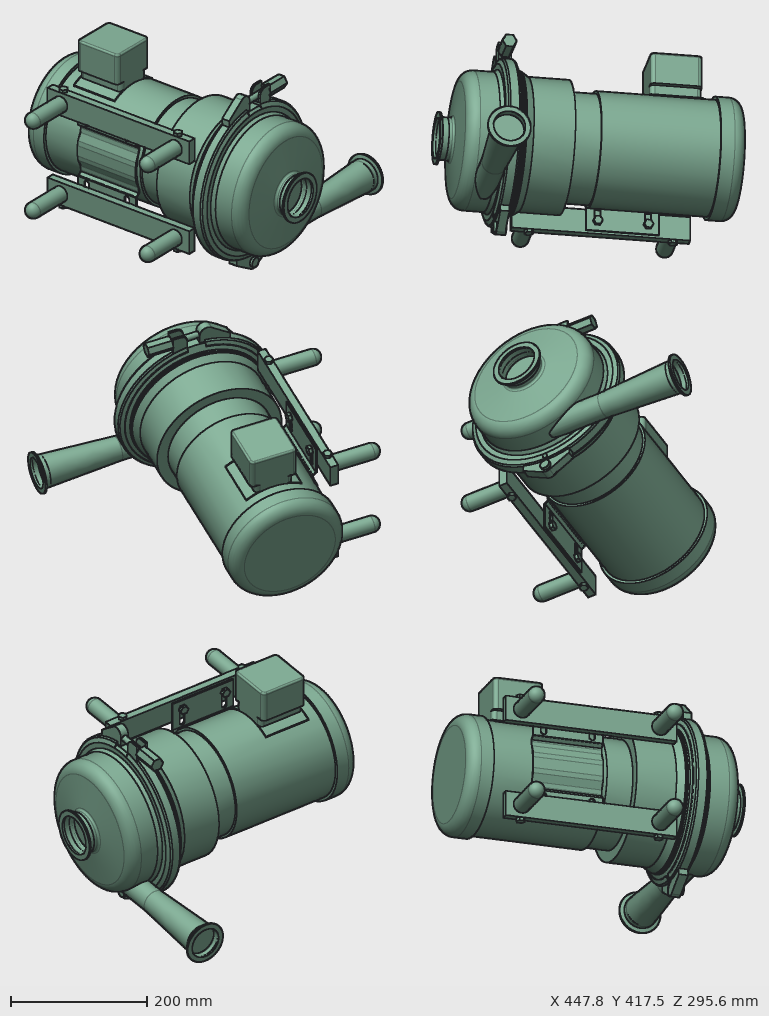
import cadquery as cq
import math


COVER_DIA = 182.63
COVER_LENGTH = 38.4
COVER_ROUND = 18.3
MOTOR_DIA = 172.97
MOTOR_END_X = 216.0
NECK_DIA = 164.85
NECK_END_X = 257.5
ADAPTER_DIA = 200.0
ADAPTER_END_X = 319.5

BACK_PLATE_DIA = 215.0
BACK_CONE_END_X = 331.0
BACK_GROOVE_X = 333.2
BACK_GROOVE_WIDTH = 1.2
BACK_GROOVE_DEPTH = 0.8
BACK_RIM_X = 335.2
BACK_COLLAR_X = 337.6
BACK_COLLAR_R = 108.6
FLANGE_DIA = 240.0
FLANGE_THICKNESS = 17.2

CLAMP_MID_X = 351.8
CLAMP_WIDTH = 25.2
CLAMP_SHOULDER_WIDTH = 18.8
CLAMP_CROWN_WIDTH = 13.2
CLAMP_INNER_R = 115.6
CLAMP_SHOULDER_R = 122.5
CLAMP_OUTER_R = 124.4
CLAMP_GAP_START_Y = -15.0
CLAMP_GAP_END_Y = 14.0
HINGE_GAP = 6.6

BOLT_Z = 131.5
ROD_DIA = 10.0
NUT_FLATS = 18.7
NUT_START_Y = 37.0
NUT_END_Y = 76.0
FORK_TOP_Z = 145.5
FORK_BASE_Z = 116.0
FORK_ROUND = 11.2
FORK_EAR_THICKNESS = 3.4
WEDGE_FRONT_Y = -7.3
WEDGE_END_Y = -55.6
WEDGE_TOP_Z = 147.0
WEDGE_ROUND = 11.3
WEDGE_TIP_Z = 121.7
WEDGE_BASE_Z = 110.0

HINGE_HALF_WIDTH = 38.7
HINGE_SIDE_Z = -127.4
HINGE_ROOT_Z = -118.0
HINGE_PIN_Z = -136.3
HINGE_BOSS_R = 11.48
HINGE_THICKNESS = 14.4
HINGE_LEAF_STEP = 1.0
PIN_HEAD_DIA = 15.5
PIN_HEAD_HEIGHT = 4.6

CASING_R = 103.6
CASING_COLLAR_R = 107.0
CASING_WALL_START_X = 370.7
CASING_WALL_END_X = 400.4
CASING_ROUND = 19.4
CASING_FACE_X = 426.0

INLET_END_X = 447.75
INLET_TUBE_DIA = 63.5
INLET_NECK_DIA = 63.88
INLET_NECK_END_X = 434.2
INLET_ROOT_ROUND = 3.5
INLET_BORE = 60.2
INLET_FERRULE_DIA = 77.47

OUTLET_X = 380.8
OUTLET_Z = -83.2
OUTLET_END_Y = 239.3
OUTLET_FERRULE_DIA = 63.88
OUTLET_TOP_DIA = 50.93
OUTLET_BORE = 47.5
OUTLET_BASE_DIA = 38.0
OUTLET_TAPER_TOP_Y = 227.0
OUTLET_TAPER_BASE_Y = 109.7
OUTLET_ROOT_Y = 20.0

FERRULE_RIM = 2.9
FERRULE_BEVEL = 1.6

BOX_START_X = 57.1
BOX_LENGTH = 76.9
BOX_WIDTH = 74.4
BOX_TOP_Z = 147.8
BOX_BOTTOM_Z = 98.0
BOX_CORNER_R = 6.6
BOX_TOP_ROUND = 3.0
PEDESTAL_INSET = 7.5
PAD_WIDTH = 89.0
PAD_THICKNESS = 1.5

BAR_START_X = 53.1
BAR_INNER_Y = -88.6
BAR_THICKNESS = 12.7
BAR_HEIGHT = 38.0
BAR_MID_Z = 75.0
FOOT_DIA = 25.4
FOOT_END_Y = -178.2
FOOT_X = (77.9, 293.3)
BAR_SCREW_DIA = 13.4
BAR_SCREW_HEIGHT = 4.9

SADDLE_START_X = 100.2
SADDLE_LENGTH = 109.0
SHEET = 2.8
SADDLE_CROWN_Y = -89.6
SADDLE_CROWN_HALF = 8.6
SADDLE_FLANK_TOP = (-88.4, 16.2)
SADDLE_FLANK_END = (-83.0, 28.0)
SADDLE_VALLEY_Y = -82.0
SADDLE_VALLEY_START_Z = 35.0
SADDLE_VALLEY_END_Z = 37.5
SADDLE_LIP_Z = 43.0
SADDLE_EDGE_Z = 90.0
SLOT_X = (116.5, 192.0)
SLOT_WIDTH = 9.0
SLOT_INNER_Z = 46.0
SLOT_OUTER_Z = 80.0
SADDLE_BOLT_DIA = 14.0
SADDLE_BOLT_HEIGHT = 5.8


def box(x0, x1, y0, y1, z0, z1):
    """Box given by its limits along each axis."""
    return cq.Workplane("XY").box(x1 - x0, y1 - y0, z1 - z0, centered=False).translate((x0, y0, z0))


def plane_across_x(x):
    """Plane at x whose local coordinates are (Y, Z) and whose normal is +X."""
    return cq.Workplane("YZ", origin=(x, 0, 0))


def plane_across_y(x, y, z):
    """Plane centred on a point, with local X along +X and its normal along +Y."""
    return cq.Workplane(cq.Plane(origin=(x, y, z), xDir=(1, 0, 0), normal=(0, 1, 0)))


def point_on_circle(centre, radius, angle):
    return (centre[0] + radius * math.cos(angle), centre[1] + radius * math.sin(angle))


def tangent_angle(centre, radius, point, turn):
    """Angle on a circle where the line to an outside point is tangent; turn (+1 or -1) picks the side."""
    across = point[0] - centre[0]
    up = point[1] - centre[1]
    return math.atan2(up, across) + turn * math.acos(radius / math.hypot(across, up))


def revolve_about_x(profile):
    """Revolve a closed (x, radius) profile about the X axis."""
    return profile.close().revolve(360, (0, 0, 0), (1, 0, 0))


def make_motor():
    cover_r = COVER_DIA / 2
    arc_mid = COVER_ROUND * (1 - math.sqrt(0.5))
    profile = (
        cq.Workplane("XY")
        .lineTo(0, cover_r - COVER_ROUND)
        .threePointArc((arc_mid, cover_r - arc_mid), (COVER_ROUND, cover_r))
        .lineTo(COVER_LENGTH, cover_r)
        .lineTo(COVER_LENGTH, MOTOR_DIA / 2)
        .lineTo(MOTOR_END_X, MOTOR_DIA / 2)
        .lineTo(MOTOR_END_X, NECK_DIA / 2)
        .lineTo(NECK_END_X, NECK_DIA / 2)
        .lineTo(NECK_END_X, ADAPTER_DIA / 2)
        .lineTo(ADAPTER_END_X, ADAPTER_DIA / 2)
        .lineTo(ADAPTER_END_X, 0)
    )
    return revolve_about_x(profile)


def make_pump_body():
    plate_r = BACK_PLATE_DIA / 2
    groove_r = plate_r - BACK_GROOVE_DEPTH
    clamp_front_x = CLAMP_MID_X + CLAMP_WIDTH / 2
    flange_back_x = CLAMP_MID_X - FLANGE_THICKNESS / 2
    flange_front_x = CLAMP_MID_X + FLANGE_THICKNESS / 2

    face_inner_r = INLET_NECK_DIA / 2 + INLET_ROOT_ROUND
    round_centre = (CASING_WALL_END_X, CASING_R - CASING_ROUND)
    round_end = tangent_angle(round_centre, CASING_ROUND, (CASING_FACE_X, face_inner_r), 1)
    round_mid = (math.pi / 2 + round_end) / 2

    profile = (
        cq.Workplane("XY")
        .moveTo(ADAPTER_END_X, 0)
        .lineTo(ADAPTER_END_X, ADAPTER_DIA / 2)
        .lineTo(BACK_CONE_END_X, plate_r)
        .lineTo(BACK_GROOVE_X, plate_r)
        .lineTo(BACK_GROOVE_X, groove_r)
        .lineTo(BACK_GROOVE_X + BACK_GROOVE_WIDTH, groove_r)
        .lineTo(BACK_RIM_X, plate_r)
        .lineTo(BACK_COLLAR_X, BACK_COLLAR_R)
        .lineTo(flange_back_x, FLANGE_DIA / 2)
        .lineTo(flange_front_x, FLANGE_DIA / 2)
        .lineTo(clamp_front_x, CLAMP_INNER_R)
        .lineTo(clamp_front_x, CASING_COLLAR_R)
        .lineTo(CASING_WALL_START_X, CASING_R)
        .lineTo(CASING_WALL_END_X, CASING_R)
        .threePointArc(
            point_on_circle(round_centre, CASING_ROUND, round_mid),
            point_on_circle(round_centre, CASING_ROUND, round_end),
        )
        .lineTo(CASING_FACE_X, face_inner_r)
        .lineTo(CASING_FACE_X, 0)
    )
    return revolve_about_x(profile)


def make_inlet():
    rim_x = INLET_END_X - FERRULE_RIM
    tube_r = INLET_TUBE_DIA / 2
    neck_r = INLET_NECK_DIA / 2
    round_centre = (CASING_FACE_X + INLET_ROOT_ROUND, neck_r + INLET_ROOT_ROUND)
    round_mid = point_on_circle(round_centre, INLET_ROOT_ROUND, math.radians(225))
    profile = (
        cq.Workplane("XY")
        .moveTo(CASING_FACE_X, 0)
        .lineTo(CASING_FACE_X, neck_r + INLET_ROOT_ROUND)
        .threePointArc(round_mid, (CASING_FACE_X + INLET_ROOT_ROUND, neck_r))
        .lineTo(INLET_NECK_END_X, neck_r)
        .lineTo(INLET_NECK_END_X, tube_r)
        .lineTo(rim_x - FERRULE_BEVEL, tube_r)
        .lineTo(rim_x, INLET_FERRULE_DIA / 2)
        .lineTo(INLET_END_X, INLET_FERRULE_DIA / 2)
        .lineTo(INLET_END_X, INLET_BORE / 2)
        .lineTo(CASING_FACE_X, INLET_BORE / 2)
        .lineTo(CASING_FACE_X, 0)
    )
    return revolve_about_x(profile)


def make_outlet():
    """Tapered discharge pipe, revolved about its own axis parallel to Y."""
    rim_y = OUTLET_END_Y - FERRULE_RIM
    profile = (
        cq.Workplane("XY")
        .moveTo(0, OUTLET_ROOT_Y)
        .lineTo(OUTLET_BASE_DIA / 2, OUTLET_ROOT_Y)
        .lineTo(OUTLET_BASE_DIA / 2, OUTLET_TAPER_BASE_Y)
        .lineTo(OUTLET_TOP_DIA / 2, OUTLET_TAPER_TOP_Y)
        .lineTo(OUTLET_TOP_DIA / 2, rim_y - FERRULE_BEVEL)
        .lineTo(OUTLET_FERRULE_DIA / 2, rim_y)
        .lineTo(OUTLET_FERRULE_DIA / 2, OUTLET_END_Y)
        .lineTo(OUTLET_BORE / 2, OUTLET_END_Y)
        .lineTo(OUTLET_BORE / 2, OUTLET_TAPER_TOP_Y)
        .lineTo(0, OUTLET_TAPER_TOP_Y)
        .close()
    )
    pipe = profile.revolve(360, (0, 0, 0), (0, 1, 0))
    return pipe.translate((OUTLET_X, 0, OUTLET_Z))


def make_clamp_ring():
    """Bevelled ring in two halves, parted at the bolt (top) and the hinge (bottom)."""
    half_outline = [
        (CLAMP_WIDTH / 2, CLAMP_INNER_R),
        (CLAMP_SHOULDER_WIDTH / 2, CLAMP_SHOULDER_R),
        (CLAMP_CROWN_WIDTH / 2, CLAMP_OUTER_R),
    ]
    front_side = [(CLAMP_MID_X + offset, r) for offset, r in half_outline]
    back_side = [(CLAMP_MID_X - offset, r) for offset, r in reversed(half_outline)]
    ring = revolve_about_x(cq.Workplane("XY").polyline(front_side + back_side))

    back_x = CLAMP_MID_X - CLAMP_WIDTH
    front_x = CLAMP_MID_X + CLAMP_WIDTH
    bolt_gap = box(back_x, front_x, CLAMP_GAP_START_Y, CLAMP_GAP_END_Y, 0, BOX_TOP_Z)
    hinge_gap = box(back_x, front_x, -HINGE_GAP / 2, HINGE_GAP / 2, -BOX_TOP_Z, 0)
    return ring.cut(bolt_gap).cut(hinge_gap)


def make_hinge():
    """V-shaped hinge plate, rounded about the pin, with the pin head on its front."""
    back_x = CLAMP_MID_X - HINGE_THICKNESS / 2
    front_x = back_x + HINGE_THICKNESS

    pin = (0, HINGE_PIN_Z)
    angle = tangent_angle(pin, HINGE_BOSS_R, (HINGE_HALF_WIDTH, HINGE_SIDE_Z), -1)
    tangent_y, tangent_z = point_on_circle(pin, HINGE_BOSS_R, angle)

    plate = (
        plane_across_x(back_x)
        .moveTo(-HINGE_HALF_WIDTH, HINGE_ROOT_Z)
        .lineTo(-HINGE_HALF_WIDTH, HINGE_SIDE_Z)
        .lineTo(-tangent_y, tangent_z)
        .threePointArc((0, HINGE_PIN_Z - HINGE_BOSS_R), (tangent_y, tangent_z))
        .lineTo(HINGE_HALF_WIDTH, HINGE_SIDE_Z)
        .lineTo(HINGE_HALF_WIDTH, HINGE_ROOT_Z)
        .close()
        .extrude(HINGE_THICKNESS)
    )
    plate = plate.cut(plane_across_x(back_x).circle(CLAMP_SHOULDER_R).extrude(HINGE_THICKNESS))
    boss = plane_across_x(back_x).center(0, HINGE_PIN_Z).circle(HINGE_BOSS_R).extrude(HINGE_LEAF_STEP)
    leaf_step = box(back_x, back_x + HINGE_LEAF_STEP, 0, HINGE_HALF_WIDTH, -BOX_TOP_Z, 0)
    plate = plate.cut(leaf_step.cut(boss))
    pin_head = (
        plane_across_x(front_x)
        .center(0, HINGE_PIN_Z)
        .circle(PIN_HEAD_DIA / 2)
        .extrude(PIN_HEAD_HEIGHT)
    )
    return plate.union(pin_head)


def make_clamp_bolt():
    rod = (
        plane_across_y(CLAMP_MID_X, WEDGE_FRONT_Y - WEDGE_ROUND, BOLT_Z)
        .circle(ROD_DIA / 2)
        .extrude(NUT_END_Y - WEDGE_FRONT_Y)
    )
    nut = (
        plane_across_y(CLAMP_MID_X, NUT_START_Y, BOLT_Z)
        .polygon(6, NUT_FLATS / math.cos(math.pi / 6))
        .extrude(NUT_END_Y - NUT_START_Y)
    )
    return rod.union(nut)


def make_fork():
    """Two ears straddling the rod, each square at the nut and rounded on the other side."""
    ears = cq.Workplane("XY")
    round_centre = (CLAMP_GAP_END_Y + FORK_ROUND, FORK_TOP_Z - FORK_ROUND)
    round_mid = point_on_circle(round_centre, FORK_ROUND, math.radians(135))
    ear_starts = (
        CLAMP_MID_X - CLAMP_SHOULDER_WIDTH / 2,
        CLAMP_MID_X + CLAMP_SHOULDER_WIDTH / 2 - FORK_EAR_THICKNESS,
    )
    for ear_x in ear_starts:
        ear = (
            plane_across_x(ear_x)
            .moveTo(CLAMP_GAP_END_Y, FORK_BASE_Z)
            .lineTo(CLAMP_GAP_END_Y, FORK_TOP_Z - FORK_ROUND)
            .threePointArc(round_mid, (CLAMP_GAP_END_Y + FORK_ROUND, FORK_TOP_Z))
            .lineTo(NUT_START_Y, FORK_TOP_Z)
            .lineTo(NUT_START_Y, FORK_BASE_Z)
            .close()
            .extrude(FORK_EAR_THICKNESS)
        )
        ears = ears.union(ear)
    return ears


def make_wedge():
    """Round-nosed wedge on the clamp half that anchors the rod."""
    centre_y = WEDGE_FRONT_Y - WEDGE_ROUND
    centre_z = WEDGE_TOP_Z - WEDGE_ROUND

    nose = (centre_y, centre_z)
    angle = tangent_angle(nose, WEDGE_ROUND, (WEDGE_END_Y, WEDGE_TIP_Z), -1)

    return (
        plane_across_x(CLAMP_MID_X - CLAMP_CROWN_WIDTH / 2)
        .moveTo(WEDGE_FRONT_Y, WEDGE_BASE_Z)
        .lineTo(WEDGE_FRONT_Y, centre_z)
        .threePointArc((centre_y, WEDGE_TOP_Z), point_on_circle(nose, WEDGE_ROUND, angle))
        .lineTo(WEDGE_END_Y, WEDGE_TIP_Z)
        .lineTo(WEDGE_END_Y, WEDGE_BASE_Z)
        .close()
        .extrude(CLAMP_CROWN_WIDTH)
    )


def make_terminal_box():
    mid_x = BOX_START_X + BOX_LENGTH / 2
    housing = (
        cq.Workplane("XY", origin=(mid_x, 0, BOX_BOTTOM_Z))
        .rect(BOX_LENGTH, BOX_WIDTH)
        .extrude(BOX_TOP_Z - BOX_BOTTOM_Z)
        .edges("|Z")
        .fillet(BOX_CORNER_R)
        .faces(">Z")
        .edges()
        .fillet(BOX_TOP_ROUND)
    )
    pedestal = (
        cq.Workplane("XY", origin=(mid_x, 0, 0))
        .rect(BOX_LENGTH, BOX_WIDTH - 2 * PEDESTAL_INSET)
        .extrude(BOX_BOTTOM_Z)
        .edges("|Z")
        .fillet(BOX_CORNER_R)
    )
    end_x = BOX_START_X + BOX_LENGTH
    pad_area = box(BOX_START_X, end_x, -PAD_WIDTH / 2, PAD_WIDTH / 2, 0, COVER_DIA)
    pad = plane_across_x(BOX_START_X).circle(MOTOR_DIA / 2 + PAD_THICKNESS).extrude(BOX_LENGTH)
    return housing.union(pedestal).union(pad.intersect(pad_area))


def make_saddle():
    """Bent motor base: a ribbed crown against the motor and a slotted plate on each side."""
    half_outline = [
        (SADDLE_CROWN_Y, SADDLE_CROWN_HALF),
        SADDLE_FLANK_TOP,
        SADDLE_FLANK_END,
        (SADDLE_VALLEY_Y, SADDLE_VALLEY_START_Z),
        (SADDLE_VALLEY_Y, SADDLE_VALLEY_END_Z),
        (BAR_INNER_Y, SADDLE_LIP_Z),
        (BAR_INNER_Y, SADDLE_EDGE_Z),
        (BAR_INNER_Y + SHEET, SADDLE_EDGE_Z),
        (BAR_INNER_Y + SHEET, SADDLE_LIP_Z),
        (SADDLE_VALLEY_Y + SHEET, SADDLE_VALLEY_END_Z),
        (SADDLE_VALLEY_Y + SHEET, 0),
    ]
    mirrored = [(y, -z) for y, z in reversed(half_outline[:-1])]
    saddle = (
        plane_across_x(SADDLE_START_X).polyline(half_outline + mirrored).close().extrude(SADDLE_LENGTH)
    )
    slot_mid_z = (SLOT_INNER_Z + SLOT_OUTER_Z) / 2
    for side in (-1, 1):
        for slot_x in SLOT_X:
            slot = (
                plane_across_y(slot_x, BAR_INNER_Y, side * slot_mid_z)
                .slot2D(SLOT_OUTER_Z - SLOT_INNER_Z, SLOT_WIDTH, 90)
                .extrude(SHEET)
            )
            bolt_head = (
                plane_across_y(slot_x, BAR_INNER_Y + SHEET, side * BAR_MID_Z)
                .polygon(6, SADDLE_BOLT_DIA)
                .extrude(SADDLE_BOLT_HEIGHT)
            )
            saddle = saddle.cut(slot).union(bolt_head)
    return saddle


def make_base_bar(side):
    """One mounting bar with two round-ended feet and two edge screws; side is +1 (up) or -1."""
    mid_z = side * BAR_MID_Z
    edge_z = mid_z + side * BAR_HEIGHT / 2
    outer_y = BAR_INNER_Y - BAR_THICKNESS
    mid_y = BAR_INNER_Y - BAR_THICKNESS / 2
    foot_r = FOOT_DIA / 2
    bar = box(
        BAR_START_X, ADAPTER_END_X, outer_y, BAR_INNER_Y, mid_z - BAR_HEIGHT / 2, mid_z + BAR_HEIGHT / 2
    )
    for foot_x in FOOT_X:
        foot_length = outer_y - FOOT_END_Y - foot_r
        foot = plane_across_y(foot_x, outer_y, mid_z).circle(foot_r).extrude(-foot_length)
        tip = cq.Workplane("XY").sphere(foot_r).translate((foot_x, FOOT_END_Y + foot_r, mid_z))
        screw = (
            cq.Workplane("XY", origin=(foot_x, mid_y, edge_z))
            .polygon(6, BAR_SCREW_DIA)
            .extrude(side * BAR_SCREW_HEIGHT)
        )
        bar = bar.union(foot).union(tip).union(screw)
    return bar


result = make_motor()
features = [
    make_pump_body(),
    make_inlet(),
    make_outlet(),
    make_clamp_ring(),
    make_hinge(),
    make_clamp_bolt(),
    make_fork(),
    make_wedge(),
    make_terminal_box(),
    make_saddle(),
    make_base_bar(1),
    make_base_bar(-1),
]
for feature in features:
    result = result.union(feature)